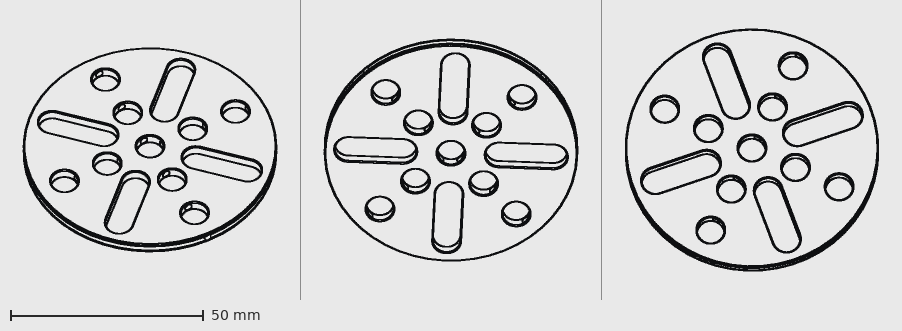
import cadquery as cq

disc_diameter = 65.6
thickness = 3.15
edge_chamfer = 0.3

groove_depth = 1.0
groove_width = 1.5

hole_diameter = 7.0
outer_hole_radius = 25.0
inner_hole_radius = outer_hole_radius / 2

slot_inner_radius = inner_hole_radius
slot_outer_radius = 26.6
slot_angles = (45, 135, 225, 315)

cross_bore_diameter = 2.0
cross_bore_angles = (0, 90, 180, 270)
seam_turn = 45

disc_radius = disc_diameter / 2
mid_height = thickness / 2


def make_disc():
    return cq.Workplane("XY").circle(disc_radius).extrude(thickness)


def make_holes():
    centers = [(0, 0)]
    for radius in (inner_hole_radius, outer_hole_radius):
        centers += [(radius, 0), (0, radius), (-radius, 0), (0, -radius)]
    return cq.Workplane("XY").pushPoints(centers).circle(hole_diameter / 2).extrude(thickness)


def make_slot(angle):
    center_spacing = slot_outer_radius - slot_inner_radius
    return (
        cq.Workplane("XY")
        .center(slot_inner_radius + center_spacing / 2, 0)
        .slot2D(center_spacing + hole_diameter, hole_diameter)
        .extrude(thickness)
        .rotate((0, 0, 0), (0, 0, 1), angle)
    )


def make_rim_groove():
    profile = [
        (disc_radius - groove_depth, mid_height),
        (disc_radius, mid_height + groove_width / 2),
        (disc_radius, mid_height - groove_width / 2),
    ]
    return (
        cq.Workplane("XZ")
        .polyline(profile)
        .close()
        .revolve(360, (0, 0, 0), (0, 1, 0))
    )


def make_cross_bore(angle):
    """Bore from the central hole out through the rim."""
    return (
        cq.Workplane("YZ", origin=(0, 0, mid_height))
        .transformed(rotate=(0, 0, seam_turn))
        .circle(cross_bore_diameter / 2)
        .extrude(disc_radius)
        .rotate((0, 0, 0), (0, 0, 1), angle)
    )


plate = make_disc().cut(make_holes())
for slot_angle in slot_angles:
    plate = plate.cut(make_slot(slot_angle))

plate = plate.faces("|Z").edges().chamfer(edge_chamfer)

plate = plate.cut(make_rim_groove())
for bore_angle in cross_bore_angles:
    plate = plate.cut(make_cross_bore(bore_angle))

result = plate